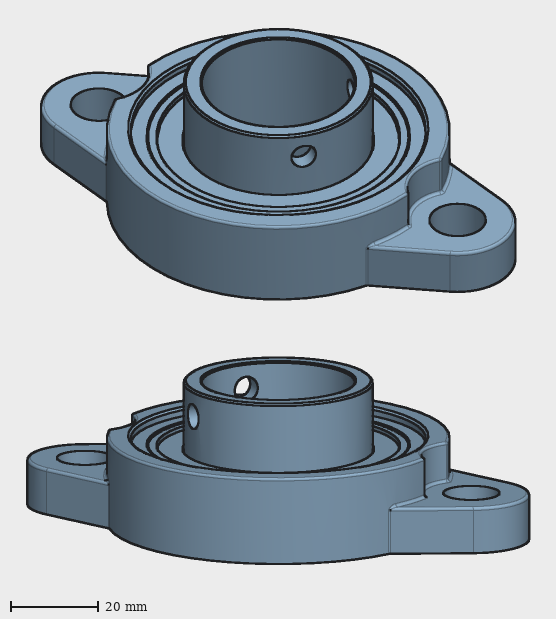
import cadquery as cq
import math

LENGTH = 120.8
BODY_RADIUS = 39.33
BODY_HEIGHT = 20.3
LUG_HEIGHT = 10.9
LUG_RADIUS = 13.3
LUG_TAPER = math.radians(21.8)
BOLT_HOLE_DIAMETER = 12.9
BOLT_OFFSET = LENGTH / 2 - LUG_RADIUS
NOTCH_RADIUS = 11.5
LUG_FILLET = 0.7
BODY_RIM_FILLET = 0.6
NOTCH_CORNER_FILLET = 0.8

SEAT_RADIUS = 30.2
RECESS_RADIUS = 33.8
RECESS_FLOOR = 18.2
RECESS_CHAMFER = 0.6

TOTAL_HEIGHT = 33.3
OUTER_RING_TOP = 18.0
OUTER_RING_CHAMFER = 0.4
OUTER_RING_INNER_RADIUS = 56.0 / 2
SHIELD_OUTER_RADIUS = 55.5 / 2
SHIELD_INNER_RADIUS = 44.0 / 2
SHIELD_TOP = 17.2
GAP_DEPTH = 0.7
COLLAR_RADIUS = 43.4 / 2
COLLAR_CHAMFER = 0.5
BORE_RADIUS = 35.0 / 2
BORE_CHAMFER = 0.4
SCREW_HOLE_DIAMETER = 5.8
SCREW_HOLE_HEIGHT = 27.2
SCREW_HOLE_ANGLES = (-45, 45)

HEIGHT_TOLERANCE = 0.0001
BOLT_CENTRES = [(-BOLT_OFFSET, 0), (BOLT_OFFSET, 0)]


def make_lug_plate():
    """Plate with round ends on both bolt holes and flanks that widen towards the middle."""
    tangent_x = BOLT_OFFSET + LUG_RADIUS * math.sin(LUG_TAPER)
    tangent_y = LUG_RADIUS * math.cos(LUG_TAPER)
    middle_y = tangent_y + tangent_x * math.tan(LUG_TAPER)
    end_x = BOLT_OFFSET + LUG_RADIUS
    return (
        cq.Workplane("XY")
        .moveTo(0, -middle_y)
        .lineTo(tangent_x, -tangent_y)
        .threePointArc((end_x, 0), (tangent_x, tangent_y))
        .lineTo(0, middle_y)
        .lineTo(-tangent_x, tangent_y)
        .threePointArc((-end_x, 0), (-tangent_x, -tangent_y))
        .close()
        .extrude(LUG_HEIGHT)
    )


def make_notched_body():
    """Round body with a bolt-head clearance cut into it above each lug."""
    notches = (
        cq.Workplane("XY", origin=(0, 0, LUG_HEIGHT))
        .pushPoints(BOLT_CENTRES)
        .circle(NOTCH_RADIUS)
        .extrude(BODY_HEIGHT - LUG_HEIGHT)
    )
    return cq.Workplane("XY").circle(BODY_RADIUS).extrude(BODY_HEIGHT).cut(notches)


def make_seat_cutter():
    """Through seat for the bearing, with a wider chamfered recess at the top."""
    return (
        cq.Workplane("XZ")
        .moveTo(0, 0)
        .lineTo(SEAT_RADIUS, 0)
        .lineTo(SEAT_RADIUS, RECESS_FLOOR)
        .lineTo(RECESS_RADIUS, RECESS_FLOOR)
        .lineTo(RECESS_RADIUS, BODY_HEIGHT - RECESS_CHAMFER)
        .lineTo(RECESS_RADIUS + RECESS_CHAMFER, BODY_HEIGHT)
        .lineTo(0, BODY_HEIGHT)
        .close()
        .revolve(360, (0, 0, 0), (0, 1, 0))
    )


def is_at_lug_top(point):
    return abs(point.z - LUG_HEIGHT) < HEIGHT_TOLERANCE


def make_housing():
    """Lug plate and round body as one solid, with rounded edges, bolt holes and bearing seat."""
    housing = make_lug_plate().union(make_notched_body())

    notch_corners = housing.edges("|Z").filter(
        lambda edge: edge.Center().z > LUG_HEIGHT and abs(edge.Center().y) > NOTCH_CORNER_FILLET)
    housing = notch_corners.fillet(NOTCH_CORNER_FILLET)

    lug_tops = housing.edges().filter(
        lambda edge: is_at_lug_top(edge.startPoint()) and is_at_lug_top(edge.endPoint()))
    flank_roots = housing.edges("|Z").filter(
        lambda edge: edge.Center().z < LUG_HEIGHT
        and abs(edge.Center().y) > LUG_RADIUS
        and abs(edge.Center().x) < BODY_RADIUS)
    housing = lug_tops.add(flank_roots).fillet(LUG_FILLET)

    housing = housing.faces(">Z").edges().fillet(BODY_RIM_FILLET)

    bolt_holes = (
        cq.Workplane("XY")
        .pushPoints(BOLT_CENTRES)
        .circle(BOLT_HOLE_DIAMETER / 2)
        .extrude(LUG_HEIGHT)
    )
    return housing.cut(bolt_holes).cut(make_seat_cutter())


def make_bearing():
    """Outer ring, shield and long inner ring as one turned solid, with two set-screw holes."""
    gap_floor = SHIELD_TOP - GAP_DEPTH
    ring = (
        cq.Workplane("XZ")
        .moveTo(BORE_RADIUS, 0)
        .lineTo(SEAT_RADIUS, 0)
        .lineTo(SEAT_RADIUS, OUTER_RING_TOP - OUTER_RING_CHAMFER)
        .lineTo(SEAT_RADIUS - OUTER_RING_CHAMFER, OUTER_RING_TOP)
        .lineTo(OUTER_RING_INNER_RADIUS, OUTER_RING_TOP)
        .lineTo(OUTER_RING_INNER_RADIUS, gap_floor)
        .lineTo(SHIELD_OUTER_RADIUS, gap_floor)
        .lineTo(SHIELD_OUTER_RADIUS, SHIELD_TOP)
        .lineTo(SHIELD_INNER_RADIUS, SHIELD_TOP)
        .lineTo(SHIELD_INNER_RADIUS, gap_floor)
        .lineTo(COLLAR_RADIUS, gap_floor)
        .lineTo(COLLAR_RADIUS, TOTAL_HEIGHT - COLLAR_CHAMFER)
        .lineTo(COLLAR_RADIUS - COLLAR_CHAMFER, TOTAL_HEIGHT)
        .lineTo(BORE_RADIUS + BORE_CHAMFER, TOTAL_HEIGHT)
        .lineTo(BORE_RADIUS, TOTAL_HEIGHT - BORE_CHAMFER)
        .close()
        .revolve(360, (0, 0, 0), (0, 1, 0))
    )
    for angle in SCREW_HOLE_ANGLES:
        screw_hole = (
            cq.Workplane("YZ", origin=(0, 0, SCREW_HOLE_HEIGHT))
            .circle(SCREW_HOLE_DIAMETER / 2)
            .extrude(COLLAR_RADIUS)
            .rotate((0, 0, 0), (0, 0, 1), angle)
        )
        ring = ring.cut(screw_hole)
    return ring


housing = make_housing()
bearing = make_bearing()
result = cq.Compound.makeCompound([housing.val(), bearing.val()])